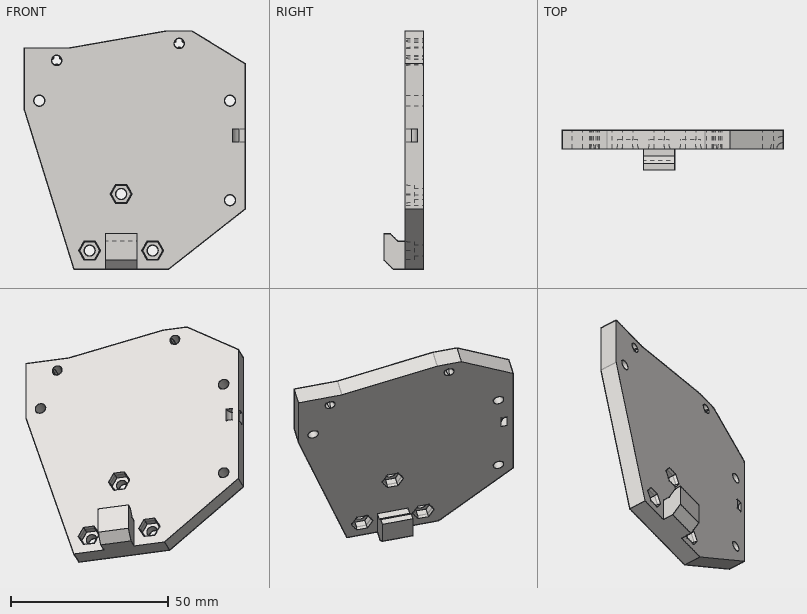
import cadquery as cq
import math


plate_thickness = 6.0
left_x = -30.8
right_x = left_x + 70.3
top_z = 75.9
bottom_half_width = 15.0
left_top_z = 70.4
left_bottom_z = 50.8
right_top_z = 65.4
right_bottom_z = 19.2
slope_start_x = -16.6
peak_left_x = 14.6
peak_right_x = 22.5

hook_width = 10.0
hook_depth = 6.7
hook_height = 11.4
hook_lip_depth = 2.05
hook_notch = 2.35
hook_bottom_chamfer = 3.0

screw_diameter = 3.4
mount_left_x = -26.0
mount_right_x = 34.6
mount_upper_z = 53.65
mount_lower_z = 22.0
nut_half_spacing = 10.0
nut_lower_z = 6.0
nut_upper_z = 24.0
nut_across_flats = 5.55
nut_mouth_across_flats = 6.1
nut_lead_depth = 1.0
nut_depth = 3.0

grip_diameter = 3.2
grip_rib_diameter = 0.9
grip_rib_tip_diameter = 0.2
grip_rib_lead = 2.0
grip_rib_angles = (30, 150, 270)
grip_centres = [(-20.5, 66.5), (18.45, 71.9)]

tie_inner_radius = 2.05
tie_outer_radius = 4.0
tie_width = 4.0
tie_z = 42.6


def at_depth(depth):
    """Work plane parallel to the plate, looking into it, at a depth behind the front face."""
    return cq.Workplane(cq.Plane(origin=(0, depth, 0), xDir=(1, 0, 0), normal=(0, -1, 0)))


def drill(centres, diameter, start, end):
    return at_depth(start).pushPoints(centres).circle(diameter / 2).extrude(start - end)


def make_plate():
    outline = [
        (-bottom_half_width, 0),
        (bottom_half_width, 0),
        (right_x, right_bottom_z),
        (right_x, right_top_z),
        (peak_right_x, top_z),
        (peak_left_x, top_z),
        (slope_start_x, left_top_z),
        (left_x, left_top_z),
        (left_x, left_bottom_z),
    ]
    return at_depth(0).polyline(outline).close().extrude(-plate_thickness)


def make_hook():
    profile = [
        (0, 0),
        (hook_bottom_chamfer - hook_depth, 0),
        (-hook_depth, hook_bottom_chamfer),
        (-hook_depth, hook_height),
        (hook_lip_depth - hook_depth, hook_height),
        (hook_lip_depth + hook_notch - hook_depth, hook_height - hook_notch),
        (0, hook_height - hook_notch),
    ]
    return cq.Workplane("YZ").polyline(profile).close().extrude(hook_width / 2, both=True)


def make_nut_pocket(x, z):
    """Hexagonal pocket whose walls flare out towards the front face."""
    corner_ratio = 1 / math.cos(math.radians(30))
    seat = at_depth(0).center(x, z).polygon(6, nut_across_flats * corner_ratio).extrude(-nut_depth)
    lead = (
        at_depth(0)
        .center(x, z)
        .polygon(6, nut_mouth_across_flats * corner_ratio)
        .workplane(offset=-nut_lead_depth)
        .polygon(6, nut_across_flats * corner_ratio)
        .loft()
    )
    return seat.union(lead)


def make_grip_hole(x, z):
    """Through hole with three round ribs that taper towards the front face."""
    bore = drill([(x, z)], grip_diameter, 0, plate_thickness)
    for angle in grip_rib_angles:
        direction = math.radians(angle)
        rib_x = x + grip_diameter / 2 * math.cos(direction)
        rib_z = z + grip_diameter / 2 * math.sin(direction)
        tip = cq.Solid.makeCone(
            grip_rib_tip_diameter / 2,
            grip_rib_diameter / 2,
            grip_rib_lead,
            pnt=cq.Vector(rib_x, 0, rib_z),
            dir=cq.Vector(0, 1, 0),
        )
        shank = drill([(rib_x, rib_z)], grip_rib_diameter, grip_rib_lead, plate_thickness)
        bore = bore.cut(shank).cut(cq.Workplane(tip))
    return bore


def make_tie_channel():
    """Ring around the front right edge of the plate."""
    return (
        cq.Workplane("XY", origin=(right_x, 0, tie_z))
        .circle(tie_outer_radius)
        .circle(tie_inner_radius)
        .extrude(tie_width / 2, both=True)
    )


nut_centres = [
    (-nut_half_spacing, nut_lower_z),
    (nut_half_spacing, nut_lower_z),
    (0, nut_upper_z),
]
mount_centres = [
    (mount_left_x, mount_upper_z),
    (mount_right_x, mount_upper_z),
    (mount_right_x, mount_lower_z),
]

result = make_plate().cut(make_tie_channel())
result = result.cut(drill(mount_centres + nut_centres, screw_diameter, 0, plate_thickness))
for nut_x, nut_z in nut_centres:
    result = result.cut(make_nut_pocket(nut_x, nut_z))
for grip_x, grip_z in grip_centres:
    result = result.cut(make_grip_hole(grip_x, grip_z))
result = result.union(make_hook())